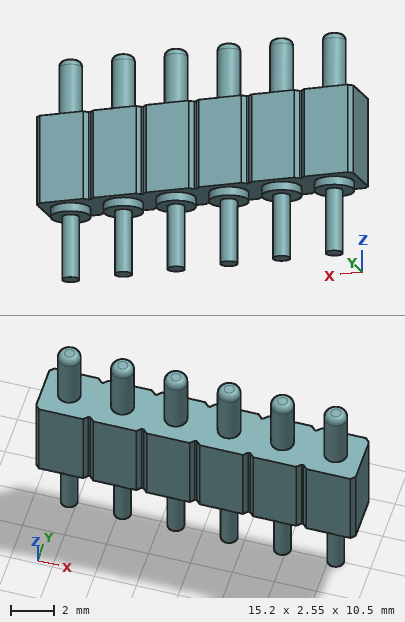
import cadquery as cq

pin_count = 6
row_length = 15.24
pitch = row_length / pin_count
housing_width = 2.55
housing_height = 4.2
corner_chamfer = 0.2
notch_floor = 0.09

contact_diameter = 1.07
contact_length = 2.9
contact_tip_radius = 0.3
collar_diameter = 1.83
collar_height = 0.4
tail_diameter = 0.8
tail_length = 3.0

housing_top = housing_height
collar_bottom = -collar_height


def make_housing():
    """Bar with chamfered upright corners and a notch on both sides at each cell boundary."""
    bar = (
        cq.Workplane("XY")
        .box(row_length, housing_width, housing_height, centered=(True, True, False))
        .edges("|Z")
        .chamfer(corner_chamfer)
    )
    side = housing_width / 2
    floor_y = side - corner_chamfer
    half_floor = notch_floor / 2
    half_mouth = half_floor + corner_chamfer
    notch = (
        cq.Workplane("XY")
        .polyline([(-half_mouth, side), (-half_floor, floor_y), (half_floor, floor_y), (half_mouth, side)])
        .close()
        .extrude(housing_height)
    )
    notch_pair = notch.union(notch.mirror("XZ"))
    for boundary in range(1, pin_count):
        x = boundary * pitch - row_length / 2
        bar = bar.cut(notch_pair.translate((x, 0, 0)))
    return bar


def make_pin():
    """Stepped pin on the Z axis, with its contact tip rounded."""
    contact = (
        cq.Workplane("XY", origin=(0, 0, housing_top))
        .circle(contact_diameter / 2)
        .extrude(contact_length)
        .faces(">Z")
        .edges()
        .fillet(contact_tip_radius)
    )
    core = cq.Workplane("XY").circle(contact_diameter / 2).extrude(housing_top)
    collar = cq.Workplane("XY").circle(collar_diameter / 2).extrude(-collar_height)
    tail = (
        cq.Workplane("XY", origin=(0, 0, collar_bottom))
        .circle(tail_diameter / 2)
        .extrude(-tail_length)
    )
    return core.union(contact).union(collar).union(tail)


result = make_housing()
pin = make_pin()
for cell in range(pin_count):
    pin_x = (cell + 0.5) * pitch - row_length / 2
    result = result.union(pin.translate((pin_x, 0, 0)))